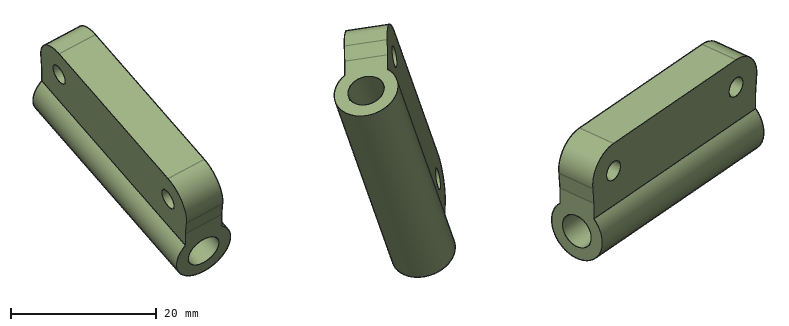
import cadquery as cq
import math

total_length = 35.55
total_height = 18.1
barrel_length = 35.0
barrel_diameter = 9.0
bore_diameter = 5.1

plate_thickness = 6.05
corner_radius = 4.5
hole_diameter = 3.0
taper_start_drop = 5.15
taper_end_drop = 7.7

half_barrel = barrel_length / 2
plate_top = total_height - barrel_diameter / 2
corner_x = total_length / 2 - corner_radius
corner_z = plate_top - corner_radius
taper_start_z = plate_top - taper_start_drop
taper_end_z = plate_top - taper_end_drop
taper_start_x = corner_x + math.sqrt(corner_radius**2 - (taper_start_z - corner_z) ** 2)
arc_mid_offset = corner_radius * math.sqrt(0.5)


def make_barrel():
    """Solid cylinder lying along X."""
    return cq.Workplane("YZ").circle(barrel_diameter / 2).extrude(half_barrel, both=True)


def make_plate():
    """Plate with rounded upper corners and slightly tapered ends."""
    return (
        cq.Workplane("XZ")
        .moveTo(-half_barrel, 0)
        .lineTo(-half_barrel, taper_end_z)
        .lineTo(-taper_start_x, taper_start_z)
        .threePointArc((-corner_x - arc_mid_offset, corner_z + arc_mid_offset), (-corner_x, plate_top))
        .lineTo(corner_x, plate_top)
        .threePointArc((corner_x + arc_mid_offset, corner_z + arc_mid_offset), (taper_start_x, taper_start_z))
        .lineTo(half_barrel, taper_end_z)
        .lineTo(half_barrel, 0)
        .close()
        .extrude(plate_thickness / 2, both=True)
    )


def make_bore():
    """Through bore along the barrel axis."""
    return cq.Workplane("YZ").circle(bore_diameter / 2).extrude(half_barrel, both=True)


def make_mounting_holes():
    """Two cross holes concentric with the rounded corners."""
    return (
        cq.Workplane("XZ")
        .pushPoints([(-corner_x, corner_z), (corner_x, corner_z)])
        .circle(hole_diameter / 2)
        .extrude(plate_thickness / 2, both=True)
    )


result = make_barrel().union(make_plate()).cut(make_bore()).cut(make_mounting_holes())